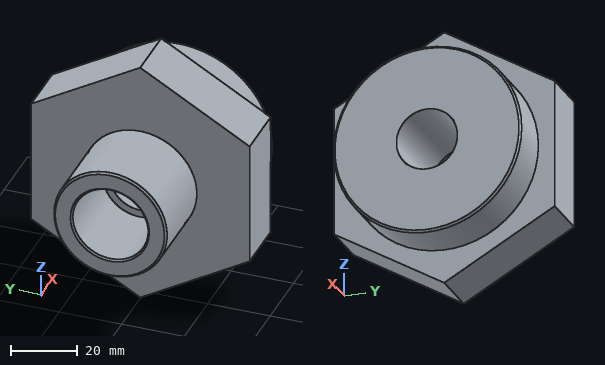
import cadquery as cq

hex_across_corners = 80.8
hex_length = 18.0

spigot_diameter = 36.2
spigot_length = 26.0

collar_diameter = 59.65
collar_length = 15.9

socket_diameter = 24.1
socket_depth = spigot_length
bore_diameter = 19.3

edge_chamfer = 0.65
socket_chamfer = 0.6

hex_start = spigot_length
collar_start = hex_start + hex_length
total_length = collar_start + collar_length


def cylinder(diameter, start, length):
    """Solid cylinder on the part axis, running toward +X from start."""
    return cq.Workplane("YZ", origin=(start, 0, 0)).circle(diameter / 2).extrude(length)


spigot = cylinder(spigot_diameter, 0, spigot_length).faces("<X").chamfer(edge_chamfer)
collar = cylinder(collar_diameter, collar_start, collar_length).faces(">X").chamfer(edge_chamfer)
hexagon = (
    cq.Workplane("YZ", origin=(hex_start, 0, 0))
    .transformed(rotate=(0, 0, 90))
    .polygon(6, hex_across_corners)
    .extrude(hex_length)
)
body = hexagon.union(spigot).union(collar)

bore = cylinder(bore_diameter, 0, total_length)
socket = cylinder(socket_diameter, 0, socket_depth)
socket_mouth = cq.Workplane(
    cq.Solid.makeCone(
        socket_diameter / 2 + socket_chamfer,
        socket_diameter / 2,
        socket_chamfer,
        pnt=cq.Vector(0, 0, 0),
        dir=cq.Vector(1, 0, 0),
    )
)

result = body.cut(bore).cut(socket).cut(socket_mouth)